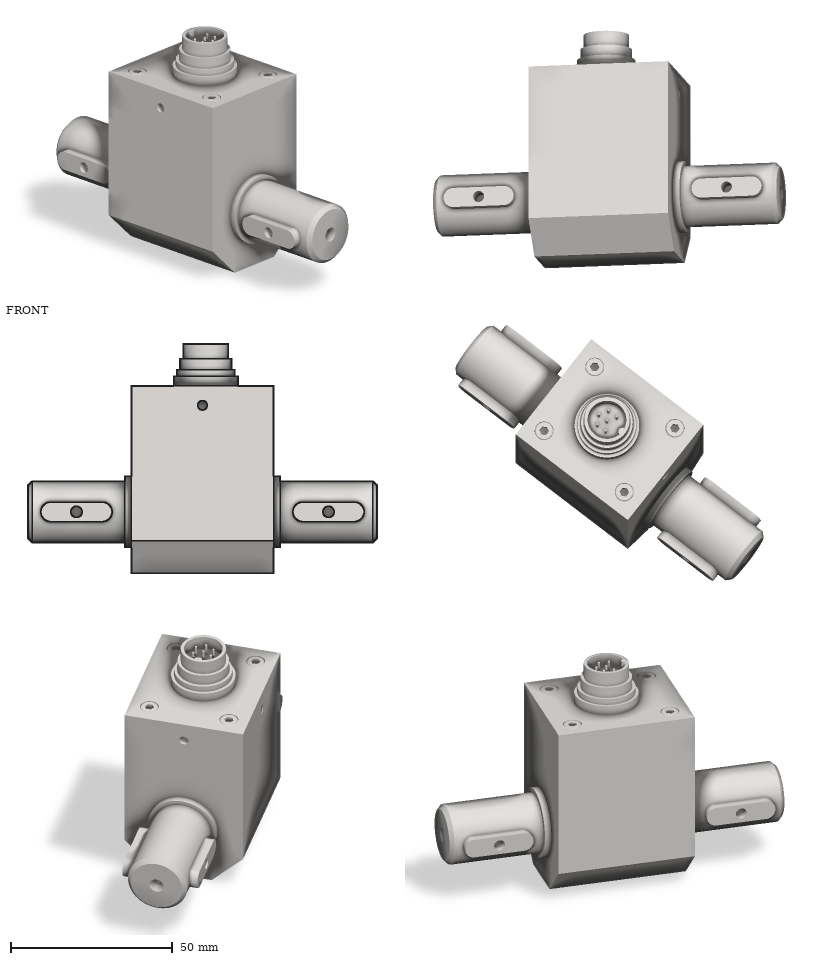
import cadquery as cq
import math


drill_half_angle = math.radians(59)

block_length = 44.0
block_width = 38.0
block_height = 58.0
block_bottom = -block_width / 2
block_top = block_bottom + block_height
block_bevel = 10.0

shaft_length = 108.0
shaft_diameter = 19.0
shaft_chamfer = 1.3
collar_diameter = 22.0
collar_thickness = 2.0

centre_mouth_diameter = 4.5
centre_pilot_diameter = 2.0
centre_cone_depth = 1.3
centre_pilot_depth = 4.3

key_length = 22.0
key_width = 6.0
key_span = 24.0
key_end_distance = 15.0
key_hole_diameter = 3.5
key_hole_depth = 6.0

side_hole_diameter = 2.9
side_hole_drop = 6.0
side_hole_depth = 5.0

screw_edge_distance = 6.3
screw_bore_diameter = 5.8
screw_head_diameter = 5.7
screw_head_chamfer = 0.3
screw_head_height = 3.0
socket_diameter = 2.9
socket_depth = 1.5
socket_turn = 30

connector_x = 1.0
connector_steps = [(20.0, 3.0), (18.0, 1.9), (16.0, 3.5), (14.0, 4.5)]
connector_bore_diameter = 12.0
connector_bore_depth = 4.5
polarising_rib_diameter = 2.4
pin_diameter = 0.77
pin_circle_radius = 3.2
pin_height = 3.8
pin_tip_radius = 0.3
pin_angles = [-120, -60, 0, 60, 120]


def pointed_drilling(radius, depth):
    """Blind hole along -Z from the origin, ending in a drill point."""
    point_depth = radius / math.tan(drill_half_angle)
    return (
        cq.Workplane("XZ")
        .lineTo(radius, 0)
        .lineTo(radius, -depth)
        .lineTo(0, -depth - point_depth)
        .close()
        .revolve(360, (0, 0), (0, 1))
    )


def make_block():
    """Housing with both long bottom edges bevelled."""
    base = cq.Workplane("XY", origin=(0, 0, block_bottom))
    block = base.rect(block_length, block_width).extrude(block_height)
    return block.faces("<Z").edges("|X").chamfer(block_bevel)


def make_shaft():
    """Chamfered shaft with a collar against each end of the housing."""
    collar_span = block_length + 2 * collar_thickness
    shaft = cq.Workplane("YZ").circle(shaft_diameter / 2).extrude(shaft_length / 2, both=True)
    shaft = shaft.faces("<X or >X").chamfer(shaft_chamfer)
    collars = cq.Workplane("YZ").circle(collar_diameter / 2).extrude(collar_span / 2, both=True)
    return shaft.union(collars)


def make_centre_drilling():
    """Centre drilling in the -X shaft end."""
    return (
        cq.Workplane("XY")
        .lineTo(0, centre_mouth_diameter / 2)
        .lineTo(centre_cone_depth, centre_pilot_diameter / 2)
        .lineTo(centre_pilot_depth, centre_pilot_diameter / 2)
        .lineTo(centre_pilot_depth, 0)
        .close()
        .revolve(360, (0, 0), (1, 0))
        .translate((-shaft_length / 2, 0, 0))
    )


def make_keys():
    """Both keys of one shaft end, joined through the shaft."""
    return cq.Workplane("XZ").slot2D(key_length, key_width).extrude(key_span / 2, both=True)


def make_key_holes():
    """Blind holes sunk from the outer faces of both keys."""
    key_face = cq.Workplane("XZ", origin=(0, key_span / 2, 0))
    hole = key_face.circle(key_hole_diameter / 2).extrude(key_hole_depth)
    return hole.union(hole.mirror("XZ"))


def make_screw_recess():
    """Gap around a chamfered screw head and the hexagon socket in the head."""
    head = cq.Workplane("XY").circle(screw_head_diameter / 2).extrude(-screw_head_height)
    head = head.faces(">Z").chamfer(screw_head_chamfer)
    gap = cq.Workplane("XY").circle(screw_bore_diameter / 2).extrude(-screw_head_height).cut(head)
    socket = cq.Workplane("XY").polygon(6, socket_diameter).extrude(-socket_depth)
    socket = socket.rotate((0, 0, 0), (0, 0, 1), socket_turn)
    socket_inradius = socket_diameter / 2 * math.cos(math.pi / 6)
    return gap.union(socket).union(pointed_drilling(socket_inradius, socket_depth))


def make_connector():
    """Stepped plug standing on the plane Z = 0, with its pins in an open bore."""
    height = 0
    plug = cq.Workplane("XY")
    for diameter, step_height in connector_steps:
        step = cq.Workplane("XY", origin=(0, 0, height)).circle(diameter / 2).extrude(step_height)
        plug = plug.union(step)
        height += step_height
    floor = cq.Workplane("XY", origin=(0, 0, height - connector_bore_depth))
    bore_radius = connector_bore_diameter / 2
    bore = floor.circle(bore_radius).extrude(connector_bore_depth)
    rib = floor.center(-bore_radius, 0).circle(polarising_rib_diameter / 2).extrude(connector_bore_depth)
    pin_points = [(0, 0)]
    for angle in pin_angles:
        turn = math.radians(angle)
        pin_points.append((pin_circle_radius * math.cos(turn), pin_circle_radius * math.sin(turn)))
    pins = floor.pushPoints(pin_points).circle(pin_diameter / 2).extrude(pin_height)
    pins = pins.faces(">Z").edges().fillet(pin_tip_radius)
    return plug.cut(bore.cut(rib)).union(pins)


result = make_block().union(make_shaft())

key_x = shaft_length / 2 - key_end_distance
keys = make_keys()
key_holes = make_key_holes()
centre_drilling = make_centre_drilling()
for side in (-1, 1):
    result = result.union(keys.translate((side * key_x, 0, 0)))
    result = result.cut(key_holes.translate((side * key_x, 0, 0)))
result = result.cut(centre_drilling).cut(centre_drilling.mirror("YZ"))

side_hole_z = block_top - side_hole_drop
side_hole = pointed_drilling(side_hole_diameter / 2, side_hole_depth)
front_hole = side_hole.rotate((0, 0, 0), (1, 0, 0), 90)
left_hole = side_hole.rotate((0, 0, 0), (0, 1, 0), -90)
result = result.cut(front_hole.translate((0, -block_width / 2, side_hole_z)))
result = result.cut(left_hole.translate((-block_length / 2, 0, side_hole_z)))

screw_x = block_length / 2 - screw_edge_distance
screw_y = block_width / 2 - screw_edge_distance
screw_recess = make_screw_recess()
for x in (-screw_x, screw_x):
    for y in (-screw_y, screw_y):
        result = result.cut(screw_recess.translate((x, y, block_top)))

result = result.union(make_connector().translate((connector_x, 0, block_top)))